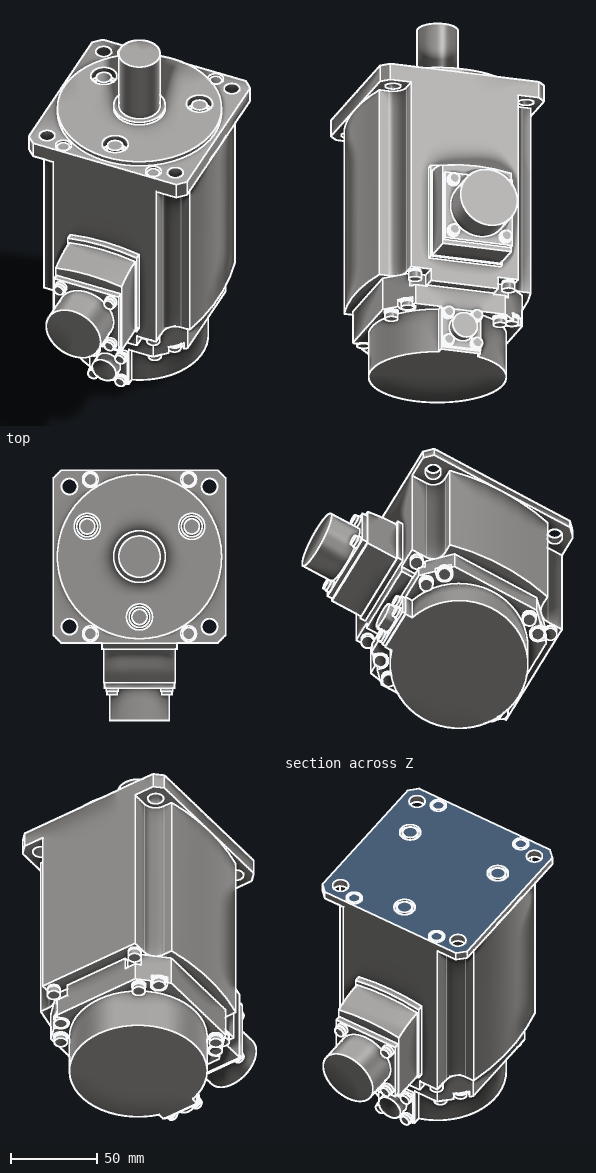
import cadquery as cq
import math


COVER_TOP = 26.5
LOWER_FRAME_TOP = 38.1
LUG_BOTTOM = 38.8
BODY_BOTTOM = 46.0
BODY_TOP = 160.8
FLANGE_TOP = 170.7
PILOT_TOP = 174.0
SEAL_TOP = 175.8
SHAFT_TOP = 215.5

FLANGE_SIDE = 100.0
HALF_FLANGE = FLANGE_SIDE / 2
FLANGE_CHAMFER = 4.7
PILOT_DIAMETER = 95.0
SEAL_DIAMETER = 30.0
SHAFT_DIAMETER = 24.0
MOUNT_HOLE_PITCH = 81.0
MOUNT_HOLE_DIAMETER = 9.0

NOTCH_RADIUS = 8.0
NOTCH_EDGE = MOUNT_HOLE_PITCH / 2 - NOTCH_RADIUS
SIDE_EDGE = 46.1
SIDE_BULGE = HALF_FLANGE - SIDE_EDGE

FRAME_SIDE = 85.0
FRAME_CHAMFER = 15.0
LUG_WIDTH = 40.7
LUG_RECESS = 39.9
COVER_DIAMETER = 79.7

TIE_BOLT_X = 28.5
TIE_BOLT_Y = 44.6
TIE_BOLT_DIAMETER = 7.1
TIE_HOLE_DIAMETER = 9.0
TIE_HOLE_DEPTH = 6.5
BOLT_END_RECESS = 1.0

PILOT_SCREW_RADIUS = 35.0
PILOT_SCREW_ANGLES = (30, 150, 270)
PILOT_SCREW_DIAMETER = 8.8
PILOT_BORE_DIAMETER = 15.0
PILOT_BORE_DEPTH = 6.5
PILOT_CLEARANCE_DIAMETER = 12.0
PILOT_CLEARANCE_DEPTH = 9.7

TIE_BOLT_STACK = ((7.0, 1.0), (7.5, 4.0))
FRAME_SCREW_STACK = ((8.2, 0.5), (7.0, 1.0), (7.5, 3.0))
POWER_SCREW_STACK = ((7.0, 2.0), (6.0, 2.0))
ENCODER_SCREW_STACK = ((6.7, 1.5), (6.0, 2.0))

COVER_SCREW_POINT = (25.9, -36.6)
POCKET_SCREW_POINT = (-30.0, -35.3)
POCKET_WIDTH = 9.5
POCKET_TOP = 30.8
POCKET_DIRECTION = -135

BASE_WIDTH = 43.5
BASE_BOTTOM = 52.5
BASE_CREST = 111.0
BASE_THICKNESS = 3.5
HOUSING_WIDTH = 41.5
HOUSING_BOTTOM = 53.2
HOUSING_CREST = 107.8
HOUSING_FRONT_CREST = 103.9
HOUSING_LENGTH = 19.5
CROWN_RADIUS = 112.0
POWER_PLATE_SIDE = 40.7
POWER_PLATE_THICKNESS = 3.2
POWER_PLUG_DIAMETER = 34.5
POWER_PLUG_END = 94.8
POWER_AXIS_Z = 76.0
POWER_SCREW_PITCH = 31.7

PAD_WIDTH = 23.7
PAD_FACE = FRAME_SIDE / 2
ENCODER_PLATE_SIDE = 23.5
ENCODER_PLATE_THICKNESS = 2.0
ENCODER_PLUG_DIAMETER = 15.0
ENCODER_PLUG_END = 50.9
ENCODER_AXIS_Z = 13.4
ENCODER_SCREW_PITCH = 17.2


def box_between(low, high):
    """Box spanned by two opposite corners."""
    size = [b - a for a, b in zip(low, high)]
    return cq.Workplane("XY").box(*size, centered=False).translate(low)


def disc(diameter, bottom, top, point=(0, 0)):
    """Cylinder along Z centred on an (x, y) point."""
    return (
        cq.Workplane("XY").workplane(offset=bottom)
        .center(*point).circle(diameter / 2).extrude(top - bottom)
    )


def screw(seat, direction, stack):
    """Washers and head stacked outward from a seat point."""
    axis = cq.Vector(*direction)
    position = cq.Vector(*seat)
    solid = cq.Workplane("XY")
    for diameter, thickness in stack:
        solid = solid.add(cq.Solid.makeCylinder(diameter / 2, thickness, position, axis))
        position = position + axis * thickness
    return solid.combine()


def four_corners(half_x, half_y):
    return [(sx * half_x, sy * half_y) for sx in (-1, 1) for sy in (-1, 1)]


def four_turns(shape):
    """Four copies of a shape, a quarter turn apart about the shaft axis."""
    return [shape.rotate((0, 0, 0), (0, 0, 1), 90 * turn) for turn in range(4)]


def make_front():
    flange = (
        cq.Workplane("XY").workplane(offset=BODY_TOP)
        .rect(FLANGE_SIDE, FLANGE_SIDE).extrude(FLANGE_TOP - BODY_TOP)
        .edges("|Z").chamfer(FLANGE_CHAMFER)
    )
    half_pitch = MOUNT_HOLE_PITCH / 2
    for point in four_corners(half_pitch, half_pitch):
        flange = flange.cut(disc(MOUNT_HOLE_DIAMETER, BODY_TOP, FLANGE_TOP, point))
    pilot = disc(PILOT_DIAMETER, FLANGE_TOP, PILOT_TOP)
    seal = disc(SEAL_DIAMETER, PILOT_TOP, SEAL_TOP)
    shaft = disc(SHAFT_DIAMETER, SEAL_TOP, SHAFT_TOP)
    return flange.union(pilot).union(seal).union(shaft)


def make_body():
    bowed = (
        cq.Workplane("XY").workplane(offset=BODY_BOTTOM)
        .moveTo(-SIDE_EDGE, -NOTCH_EDGE)
        .lineTo(-SIDE_EDGE, -HALF_FLANGE).lineTo(SIDE_EDGE, -HALF_FLANGE).lineTo(SIDE_EDGE, -NOTCH_EDGE)
        .threePointArc((SIDE_EDGE + SIDE_BULGE, 0), (SIDE_EDGE, NOTCH_EDGE))
        .lineTo(SIDE_EDGE, HALF_FLANGE).lineTo(-SIDE_EDGE, HALF_FLANGE).lineTo(-SIDE_EDGE, NOTCH_EDGE)
        .threePointArc((-SIDE_EDGE - SIDE_BULGE, 0), (-SIDE_EDGE, -NOTCH_EDGE))
        .close().extrude(BODY_TOP - BODY_BOTTOM)
    )
    notch = (
        box_between((NOTCH_EDGE, NOTCH_EDGE, BODY_BOTTOM), (HALF_FLANGE, HALF_FLANGE, BODY_TOP))
        .edges("|Z and <X and <Y").fillet(NOTCH_RADIUS)
    )
    for corner_notch in four_turns(notch):
        bowed = bowed.cut(corner_notch)
    return bowed


def make_rear():
    frame = (
        cq.Workplane("XY").workplane(offset=COVER_TOP)
        .rect(FRAME_SIDE, FRAME_SIDE).extrude(BODY_BOTTOM - COVER_TOP)
        .edges("|Z").chamfer(FRAME_CHAMFER)
    )
    half_lug = LUG_WIDTH / 2
    recess = box_between(
        (half_lug, LUG_RECESS, LOWER_FRAME_TOP), (HALF_FLANGE, HALF_FLANGE, BODY_BOTTOM)
    )
    recess = recess.union(recess.mirror("YZ"))
    frame = frame.cut(recess).cut(recess.mirror("XZ"))
    lug = box_between((-half_lug, -HALF_FLANGE, LUG_BOTTOM), (half_lug, 0, BODY_BOTTOM))
    cover = disc(COVER_DIAMETER, 0, COVER_TOP)
    return frame.union(lug).union(cover)


def add_frame_screws(motor):
    pocket_height = POCKET_TOP - COVER_TOP
    opening = (
        cq.Workplane("XY").rect(2 * POCKET_WIDTH, POCKET_WIDTH).extrude(pocket_height)
        .translate((POCKET_WIDTH, 0, 0))
    )
    pocket = (
        disc(POCKET_WIDTH, 0, pocket_height).union(opening)
        .rotate((0, 0, 0), (0, 0, 1), POCKET_DIRECTION)
        .translate((*POCKET_SCREW_POINT, COVER_TOP))
        .cut(disc(COVER_DIAMETER, COVER_TOP, POCKET_TOP))
    )
    down = (0, 0, -1)
    pocket_screw = screw((*POCKET_SCREW_POINT, POCKET_TOP), down, FRAME_SCREW_STACK)
    cover_screw = screw((*COVER_SCREW_POINT, COVER_TOP), down, FRAME_SCREW_STACK)
    for cutter in four_turns(pocket):
        motor = motor.cut(cutter)
    for added in four_turns(pocket_screw) + four_turns(cover_screw):
        motor = motor.union(added)
    return motor


def add_tie_bolts(motor):
    for point in four_corners(TIE_BOLT_X, TIE_BOLT_Y):
        hole_floor = FLANGE_TOP - TIE_HOLE_DEPTH
        hole = disc(TIE_HOLE_DIAMETER, hole_floor, FLANGE_TOP, point).cut(
            disc(PILOT_DIAMETER, hole_floor, FLANGE_TOP)
        )
        motor = motor.cut(hole)
        motor = motor.union(disc(TIE_BOLT_DIAMETER, hole_floor, FLANGE_TOP - BOLT_END_RECESS, point))
        motor = motor.union(screw((*point, BODY_BOTTOM), (0, 0, -1), TIE_BOLT_STACK))
    return motor


def add_pilot_screws(motor):
    for angle in PILOT_SCREW_ANGLES:
        x = PILOT_SCREW_RADIUS * math.cos(math.radians(angle))
        y = PILOT_SCREW_RADIUS * math.sin(math.radians(angle))
        bore_floor = PILOT_TOP - PILOT_BORE_DEPTH
        clearance_floor = PILOT_TOP - PILOT_CLEARANCE_DEPTH
        screw_end = PILOT_TOP - BOLT_END_RECESS
        motor = motor.cut(disc(PILOT_BORE_DIAMETER, bore_floor, PILOT_TOP, (x, y)))
        motor = motor.cut(disc(PILOT_CLEARANCE_DIAMETER, clearance_floor, PILOT_TOP, (x, y)))
        motor = motor.union(disc(PILOT_SCREW_DIAMETER, clearance_floor, screw_end, (x, y)))
    return motor


def make_plug(seat_y, axis_z, plate_side, plate_thickness, plug_diameter, plug_end, pitch, stack):
    """Square plate with a round plug and four corner screws, pointing along -Y from seat_y."""
    half = plate_side / 2
    face_y = seat_y - plate_thickness
    plug = box_between((-half, face_y, axis_z - half), (half, seat_y, axis_z + half))
    barrel = cq.Solid.makeCylinder(
        plug_diameter / 2, plug_end + face_y, cq.Vector(0, face_y, axis_z), cq.Vector(0, -1, 0)
    )
    plug = plug.union(cq.Workplane(barrel))
    for x, z in four_corners(pitch / 2, pitch / 2):
        plug = plug.union(screw((x, face_y, axis_z + z), (0, -1, 0), stack))
    return plug


def make_power_connector():
    crown_axis_z = HOUSING_CREST - CROWN_RADIUS
    base_y = -HALF_FLANGE - BASE_THICKNESS
    front_y = base_y - HOUSING_LENGTH
    base_crown = (
        cq.Workplane("XZ", origin=(0, -HALF_FLANGE, crown_axis_z))
        .circle(BASE_CREST - crown_axis_z).extrude(BASE_THICKNESS)
    )
    half_base = BASE_WIDTH / 2
    base = box_between((-half_base, base_y, BASE_BOTTOM), (half_base, -HALF_FLANGE, BASE_CREST))
    base = base.intersect(base_crown)

    drop = HOUSING_CREST - HOUSING_FRONT_CREST
    slope_radius = (HOUSING_LENGTH ** 2 + drop ** 2) / (2 * drop)
    half_angle = math.asin(HOUSING_LENGTH / slope_radius) / 2
    arc_middle = (
        base_y - slope_radius * math.sin(half_angle),
        HOUSING_CREST - slope_radius * (1 - math.cos(half_angle)),
    )
    housing_crown = (
        cq.Workplane("YZ")
        .moveTo(base_y, crown_axis_z).lineTo(base_y, HOUSING_CREST)
        .threePointArc(arc_middle, (front_y, HOUSING_FRONT_CREST))
        .lineTo(front_y, crown_axis_z).close()
        .revolve(360, (base_y, crown_axis_z), (front_y, crown_axis_z))
    )
    half_housing = HOUSING_WIDTH / 2
    housing = box_between((-half_housing, front_y, HOUSING_BOTTOM), (half_housing, base_y, HOUSING_CREST))
    housing = housing.intersect(housing_crown)
    plug = make_plug(
        front_y, POWER_AXIS_Z, POWER_PLATE_SIDE, POWER_PLATE_THICKNESS,
        POWER_PLUG_DIAMETER, POWER_PLUG_END, POWER_SCREW_PITCH, POWER_SCREW_STACK,
    )
    return base.union(housing).union(plug)


def make_encoder_connector():
    pad = box_between((-PAD_WIDTH / 2, -PAD_FACE, 0), (PAD_WIDTH / 2, 0, COVER_TOP))
    plug = make_plug(
        -PAD_FACE, ENCODER_AXIS_Z, ENCODER_PLATE_SIDE, ENCODER_PLATE_THICKNESS,
        ENCODER_PLUG_DIAMETER, ENCODER_PLUG_END, ENCODER_SCREW_PITCH, ENCODER_SCREW_STACK,
    )
    return pad.union(plug)


motor = make_body().union(make_front()).union(make_rear())
motor = add_frame_screws(motor)
motor = add_tie_bolts(motor)
motor = add_pilot_screws(motor)
result = motor.union(make_power_connector()).union(make_encoder_connector())